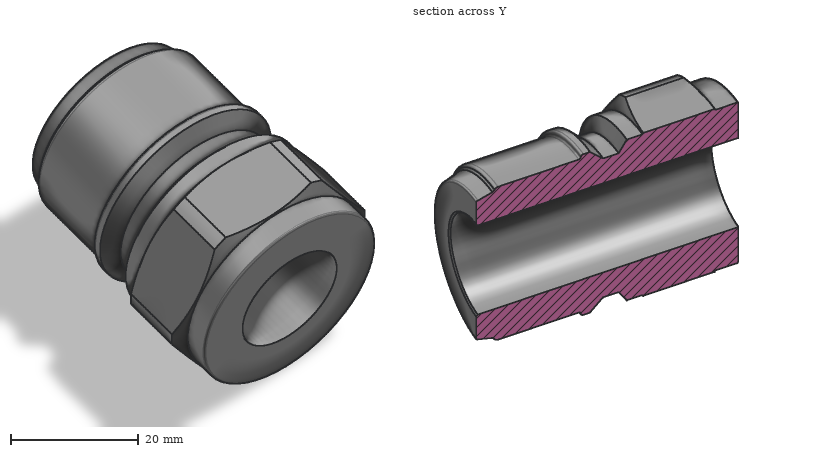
import cadquery as cq
import math

length = 46.0

bore_radius = 9.5
tip_radius = 14.95
nose_radius = 15.7
barrel_radius = 16.45
collar_radius = 17.3
groove_radius = 14.95
hex_across_flats = 35.0
hex_corner_radius = 19.5

nose_end = 2.85
barrel_start = 3.17
ring_start = 18.35
ring_end = 19.95
groove_start = 22.25
groove_end = 25.0
shoulder_start = 26.4
hex_start = 29.15
hex_end = 41.95

tip_round = 0.3
barrel_round = 0.65
ring_round = 0.45
ring_root_round = 0.35
tail_round = 0.3
bore_chamfer = 0.28
barrel_step_angle = 160.0
hex_chamfer_angle = 30.0


def round_point(center_x, center_r, radius, degrees):
    """Point on a profile arc, at an angle measured from +X."""
    angle = math.radians(degrees)
    return (center_x + radius * math.cos(angle), center_r + radius * math.sin(angle))


def make_body():
    """Turned outside: nose, barrel, ring, groove, shoulder and tail collar."""
    barrel_round_x = barrel_start + barrel_round
    barrel_round_r = barrel_radius - barrel_round
    step_angle = barrel_step_angle
    step_mid_angle = (step_angle + 90) / 2
    root_x = ring_start - ring_root_round
    root_r = barrel_radius + ring_root_round
    return (
        cq.Workplane("XY")
        .moveTo(0, 0)
        .lineTo(0, tip_radius - tip_round)
        .threePointArc(
            round_point(tip_round, tip_radius - tip_round, tip_round, 135),
            (tip_round, tip_radius),
        )
        .lineTo(nose_end, nose_radius)
        .lineTo(*round_point(barrel_round_x, barrel_round_r, barrel_round, step_angle))
        .threePointArc(
            round_point(barrel_round_x, barrel_round_r, barrel_round, step_mid_angle),
            (barrel_round_x, barrel_radius),
        )
        .lineTo(root_x, barrel_radius)
        .threePointArc(
            round_point(root_x, root_r, ring_root_round, -45),
            (ring_start, root_r),
        )
        .threePointArc(
            round_point(ring_start + ring_round, collar_radius - ring_round, ring_round, 135),
            (ring_start + ring_round, collar_radius),
        )
        .lineTo(ring_end, collar_radius)
        .lineTo(groove_start, groove_radius)
        .lineTo(groove_end, groove_radius)
        .lineTo(shoulder_start, collar_radius)
        .lineTo(length - tail_round, collar_radius)
        .threePointArc(
            round_point(length - tail_round, collar_radius - tail_round, tail_round, 45),
            (length, collar_radius - tail_round),
        )
        .lineTo(length, 0)
        .close()
        .revolve(360, (0, 0, 0), (1, 0, 0))
    )


def make_hex():
    """Hexagon with flats on top and bottom and its corners turned down."""
    width = hex_end - hex_start
    across_corners = hex_across_flats / math.cos(math.radians(30))
    prism = (
        cq.Workplane("YZ", origin=(hex_start, 0, 0))
        .polygon(6, across_corners)
        .extrude(width)
    )
    chamfer_height = hex_corner_radius - collar_radius
    chamfer_width = chamfer_height * math.tan(math.radians(hex_chamfer_angle))
    envelope = (
        cq.Workplane("YZ", origin=(hex_start, 0, 0))
        .circle(hex_corner_radius)
        .extrude(width)
        .faces("<X or >X")
        .edges()
        .chamfer(chamfer_width, chamfer_height)
    )
    return prism.intersect(envelope)


def make_bore():
    """Through bore with a chamfered mouth at the nose."""
    return (
        cq.Workplane("YZ")
        .circle(bore_radius)
        .extrude(length)
        .union(
            cq.Workplane("XY")
            .moveTo(0, 0)
            .lineTo(0, bore_radius + bore_chamfer)
            .lineTo(bore_chamfer, bore_radius)
            .lineTo(bore_chamfer, 0)
            .close()
            .revolve(360, (0, 0, 0), (1, 0, 0))
        )
    )


result = make_body().union(make_hex()).cut(make_bore())